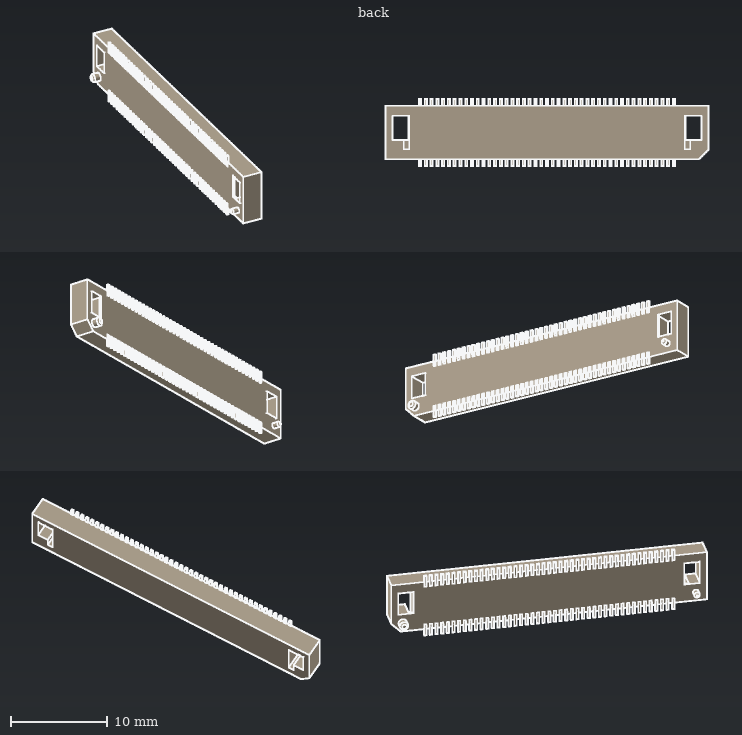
import cadquery as cq

housing_length = 33.6
housing_height = 5.6
housing_depth = 2.15
corner_chamfer = 1.0

window_width = 1.65
window_height = 2.5
window_end_margin = 0.75
window_top_margin = 1.07

slot_front_wall = 0.25
slot_width = 0.6
slot_undercut = 0.1

pins_per_row = 45
pin_pitch = 0.6
pin_width = 0.25
pin_thickness = 0.2
pin_proud = 0.1
pin_overhang = 0.7
pin_overlap = 0.3
bend_inner_radius = 0.2
bend_outer_radius = bend_inner_radius + pin_thickness

peg_length = 0.85
peg_chamfer = 0.2
large_peg_diameter = 0.9
small_peg_diameter = 0.6
peg_end_margin = 1.2
peg_bottom_margin = 1.0

half_length = housing_length / 2
half_height = housing_height / 2
window_x = half_length - window_end_margin - window_width / 2
window_z = half_height - window_top_margin - window_height / 2
peg_x = half_length - peg_end_margin


def make_housing():
    """Plain block with the lower corner at the -X end cut off."""
    block = cq.Workplane("XY").box(housing_length, housing_depth, housing_height)
    block = block.translate((0, housing_depth / 2, 0))
    return block.edges("|Y and <X and <Z").chamfer(corner_chamfer)


def make_windows():
    """Cutting blocks for the two end windows."""
    return (
        cq.Workplane("XZ")
        .pushPoints([(-window_x, window_z), (window_x, window_z)])
        .rect(window_width, window_height)
        .extrude(-housing_depth)
    )


def make_slots():
    """Cutting blocks for the two back slots, level with the window tops and centred on Z."""
    slot_x = window_x - window_width / 2 - slot_undercut + slot_width / 2
    slot_height = housing_height - 2 * window_top_margin
    return (
        cq.Workplane("XZ", origin=(0, slot_front_wall, 0))
        .pushPoints([(-slot_x, 0), (slot_x, 0)])
        .rect(slot_width, slot_height)
        .extrude(slot_front_wall - housing_depth)
    )


def make_pin(x):
    """One flat top-row pin whose lower end bends a quarter turn into the housing."""
    outer_y = -pin_proud
    inner_y = outer_y + pin_thickness
    bend_y = outer_y + bend_outer_radius
    tip_z = half_height + pin_overhang
    bend_z = half_height - pin_overlap
    return (
        cq.Workplane("YZ", origin=(x - pin_width / 2, 0, 0))
        .moveTo(inner_y, tip_z)
        .lineTo(outer_y, tip_z)
        .lineTo(outer_y, bend_z)
        .radiusArc((bend_y, bend_z - bend_outer_radius), -bend_outer_radius)
        .lineTo(bend_y, bend_z - bend_inner_radius)
        .radiusArc((inner_y, bend_z), bend_inner_radius)
        .close()
        .extrude(pin_width)
    )


def make_pins():
    """The top row of pins and its mirror image along the bottom edge."""
    first_x = -pin_pitch * (pins_per_row - 1) / 2
    pins = [make_pin(first_x + i * pin_pitch).val() for i in range(pins_per_row)]
    top_row = cq.Compound.makeCompound(pins)
    return cq.Workplane("XY").newObject([top_row, top_row.mirror("XY")]).combine()


def make_peg(x, diameter):
    """Round peg with a chamfered tip, pointing toward -Y."""
    peg_z = peg_bottom_margin - half_height
    return (
        cq.Workplane("XZ", origin=(x, 0, peg_z))
        .circle(diameter / 2)
        .extrude(peg_length)
        .faces("<Y")
        .chamfer(peg_chamfer)
    )


result = (
    make_housing()
    .cut(make_windows())
    .cut(make_slots())
    .union(make_pins())
    .union(make_peg(-peg_x, large_peg_diameter))
    .union(make_peg(peg_x, small_peg_diameter))
)